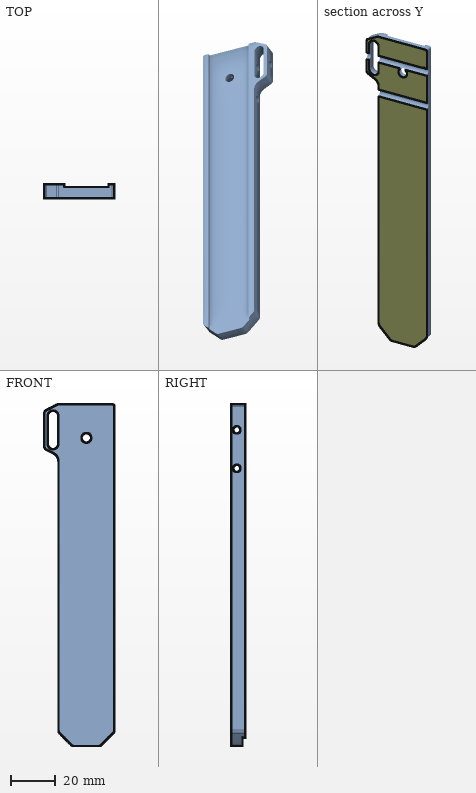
import cadquery as cq
import math

OVERALL_WIDTH = 31.38
LUG_REACH = 6.35
BODY_WIDTH = OVERALL_WIDTH - LUG_REACH
BODY_LENGTH = 152.4
THICKNESS = 6.35
TOP_CORNER_RADIUS = 1.0
FOOT_CHAMFER = 6.35
FOOT_RADIUS = 2.0

LUG_CENTER_DROP = 11.43
SHOULDER_ANGLE = 27.0
SHOULDER_END_X = -0.3
LUG_TIP_RADIUS = 2.0
SHOULDER_RADIUS = 2.0
LUG_ROOT_RADIUS = 3.9

SLOT_WIDTH = 4.6
SLOT_LENGTH = 17.1
SLOT_CENTER_X = -2.35

CHANNEL_WIDTH = 19.6
CHANNEL_DEPTH = 1.27

FACE_HOLE_DIAMETER = 4.2
FACE_HOLE_DROP = 15.0
CROSS_HOLE_DIAMETER = 3.175
CROSS_HOLE_COUNT = 2
CROSS_HOLE_SPACING = 17.145

TOP_Z = BODY_LENGTH
LUG_CENTER_Z = TOP_Z - LUG_CENTER_DROP
BODY_CENTER_X = BODY_WIDTH / 2
WEB_THICKNESS = THICKNESS - CHANNEL_DEPTH


def shoulder_drop(run):
    """Height lost by a shoulder over a horizontal run."""
    return run * math.tan(math.radians(SHOULDER_ANGLE))


def fillet_edge_at(solid, x, z, radius):
    """Round the edge running along Y nearest to the point (x, z)."""
    corner = cq.selectors.NearestToPointSelector((x, THICKNESS / 2, z))
    return solid.edges("|Y").edges(corner).fillet(radius)


def make_plate():
    """Bar and lug as one plate with all profile corners rounded."""
    tip_x = -LUG_REACH
    tip_top_z = TOP_Z - shoulder_drop(SHOULDER_END_X + LUG_REACH)
    tip_bottom_z = 2 * LUG_CENTER_Z - tip_top_z
    root_z = tip_bottom_z - shoulder_drop(LUG_REACH)
    right_foot_x = BODY_WIDTH - FOOT_CHAMFER

    corners = [
        (FOOT_CHAMFER, 0, FOOT_RADIUS),
        (right_foot_x, 0, FOOT_RADIUS),
        (BODY_WIDTH, FOOT_CHAMFER, FOOT_RADIUS),
        (BODY_WIDTH, TOP_Z, TOP_CORNER_RADIUS),
        (SHOULDER_END_X, TOP_Z, SHOULDER_RADIUS),
        (tip_x, tip_top_z, LUG_TIP_RADIUS),
        (tip_x, tip_bottom_z, LUG_TIP_RADIUS),
        (0, root_z, LUG_ROOT_RADIUS),
        (0, FOOT_CHAMFER, FOOT_RADIUS),
    ]
    outline = [(x, z) for x, z, _ in corners]
    plate = cq.Workplane("XZ").polyline(outline).close().extrude(-THICKNESS)
    for x, z, radius in corners:
        plate = fillet_edge_at(plate, x, z, radius)
    return plate


def make_lug_slot():
    """Round-ended vertical slot through the thickness."""
    return (
        cq.Workplane("XZ")
        .center(SLOT_CENTER_X, LUG_CENTER_Z)
        .slot2D(SLOT_LENGTH, SLOT_WIDTH, 90)
        .extrude(-THICKNESS)
    )


def make_channel():
    """Full-length channel open to the back face and both ends."""
    return (
        cq.Workplane("XY")
        .center(BODY_CENTER_X, WEB_THICKNESS + CHANNEL_DEPTH / 2)
        .rect(CHANNEL_WIDTH, CHANNEL_DEPTH)
        .extrude(BODY_LENGTH)
    )


def make_face_hole():
    """Hole through the thickness on the body centreline."""
    return (
        cq.Workplane("XZ")
        .center(BODY_CENTER_X, TOP_Z - FACE_HOLE_DROP)
        .circle(FACE_HOLE_DIAMETER / 2)
        .extrude(-THICKNESS)
    )


def make_cross_hole(z):
    """Hole along X through the lug and body, centred in the web."""
    return (
        cq.Workplane("YZ", origin=(-LUG_REACH, 0, 0))
        .center(WEB_THICKNESS / 2, z)
        .circle(CROSS_HOLE_DIAMETER / 2)
        .extrude(LUG_REACH + BODY_WIDTH)
    )


result = make_plate().cut(make_lug_slot()).cut(make_channel()).cut(make_face_hole())
for hole_index in range(CROSS_HOLE_COUNT):
    result = result.cut(make_cross_hole(LUG_CENTER_Z - hole_index * CROSS_HOLE_SPACING))